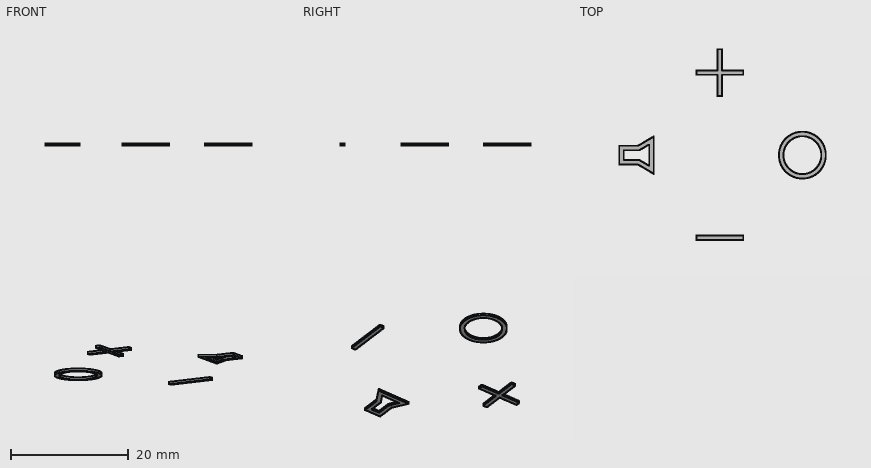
import cadquery as cq

thickness = 0.4
stroke = 0.8
symbol_size = 8.0
symbol_distance = 14.0

speaker_back_x = -17.1
speaker_box_size = 3.2
speaker_mouth_width = 6.4
speaker_flare_length = 2.72

speaker_neck_x = speaker_back_x + speaker_box_size
speaker_mouth_x = speaker_neck_x + speaker_flare_length


def make_plus():
    """Plus sign made of two crossed strokes."""
    sketch = cq.Workplane("XY").center(0, symbol_distance)
    across = sketch.rect(symbol_size, stroke).extrude(thickness)
    upright = sketch.rect(stroke, symbol_size).extrude(thickness)
    return across.union(upright)


def make_minus():
    """Minus sign, a single straight stroke."""
    return cq.Workplane("XY").center(0, -symbol_distance).rect(symbol_size, stroke).extrude(thickness)


def make_ring():
    """Round ring one stroke wide."""
    outer_radius = symbol_size / 2
    sketch = cq.Workplane("XY").center(symbol_distance, 0)
    return sketch.circle(outer_radius).circle(outer_radius - stroke).extrude(thickness)


def make_speaker():
    """Speaker frame: a box flaring to a wide mouth, hollowed one stroke inside its outline."""
    box_side = speaker_box_size / 2
    mouth_side = speaker_mouth_width / 2
    outline = cq.Workplane("XY").polyline([
        (speaker_back_x, -box_side),
        (speaker_neck_x, -box_side),
        (speaker_mouth_x, -mouth_side),
        (speaker_mouth_x, mouth_side),
        (speaker_neck_x, box_side),
        (speaker_back_x, box_side),
    ]).close()
    plate = outline.extrude(thickness)
    inner_outline = plate.faces("<Z").wires().toPending().offset2D(-stroke, "intersection")
    opening = inner_outline.extrude(thickness, combine=False)
    return plate.cut(opening)


plus = make_plus()
minus = make_minus()
ring = make_ring()
speaker = make_speaker()

result = cq.Compound.makeCompound([plus.val(), minus.val(), ring.val(), speaker.val()])